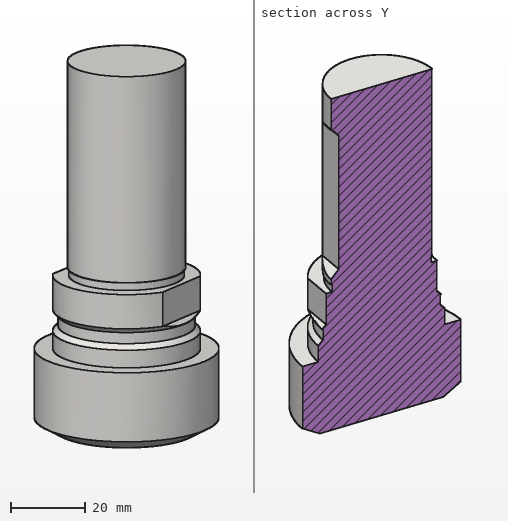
import cadquery as cq
import math

total_height = 103
base_top = 22.6
collar_top = 27.5
groove_bottom = 28.9
groove_top = 32.0
wrench_bottom = 33.5
wrench_top = 43.1
shank_bottom = 45.2

base_diameter = 50.0
base_radius = base_diameter / 2
collar_radius = 20.0
groove_radius = 18.5
neck_radius = 15.7
shank_radius = 16.0

base_bevel_width = 5.6
base_bevel_height = base_bevel_width * math.tan(math.radians(30))

wrench_flat_offset = 17.5

shank_flat_offset = 13.5
shank_flat_bottom = 49.4
shank_flat_length = 41.4
shank_flat_top = shank_flat_bottom + shank_flat_length


def turned_body():
    """Revolve the stepped half profile about Z."""
    profile = [
        (0, 0),
        (base_radius - base_bevel_width, 0),
        (base_radius, base_bevel_height),
        (base_radius, base_top),
        (collar_radius, base_top),
        (collar_radius, collar_top),
        (groove_radius, groove_bottom),
        (groove_radius, groove_top),
        (collar_radius, wrench_bottom),
        (collar_radius, wrench_top),
        (neck_radius, wrench_top),
        (neck_radius, shank_bottom),
        (shank_radius, shank_bottom),
        (shank_radius, total_height),
        (0, total_height),
    ]
    return cq.Workplane("XZ").polyline(profile).close().revolve(360, (0, 0), (0, 1))


def flat_cutter(offset, radius, bottom, top, top_run):
    """Cutter for a flat on the -X side: 45 degree lower end, upper end rising by top_run."""
    depth = radius - offset
    outline = [
        (-offset, bottom),
        (-radius, bottom - depth),
        (-radius, top + top_run),
        (-offset, top),
    ]
    return cq.Workplane("XZ").polyline(outline).close().extrude(radius, both=True)


shank_cutter = flat_cutter(
    shank_flat_offset,
    shank_radius,
    shank_flat_bottom,
    shank_flat_top,
    top_run=shank_radius - shank_flat_offset,
)
wrench_cutter = flat_cutter(
    wrench_flat_offset, collar_radius, wrench_bottom, wrench_top, top_run=0
)
wrench_cutter = wrench_cutter.intersect(
    cq.Workplane("XY")
    .workplane(offset=groove_top)
    .rect(2 * collar_radius, 2 * collar_radius)
    .extrude(wrench_top - groove_top)
)

result = turned_body().cut(shank_cutter)
for angle in (0, 180):
    result = result.cut(wrench_cutter.rotate((0, 0, 0), (0, 0, 1), angle))